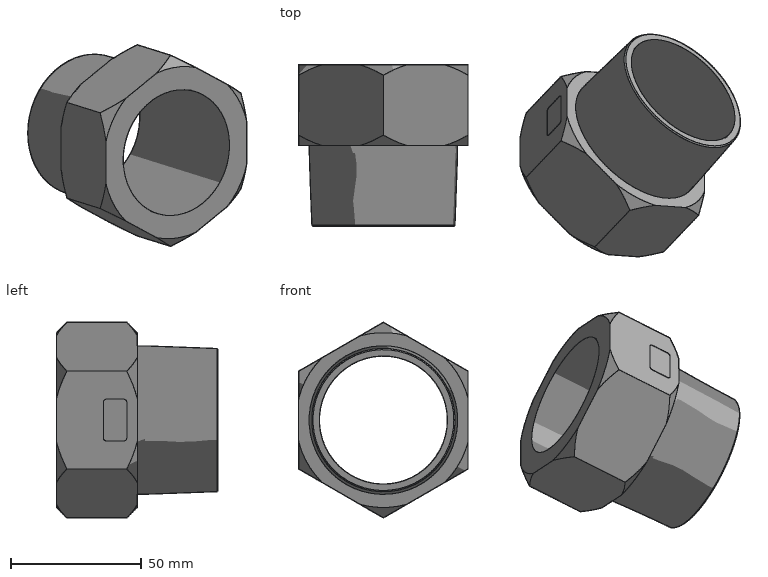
import cadquery as cq
import math

across_flats = 65.0
flat_count = 6
half_corner_angle = 180 / flat_count
across_corners = across_flats / math.cos(math.radians(half_corner_angle))
hex_length = 31.0
corner_chamfer = 4.0

spigot_length = 31.0
collar_diameter = 57.0
collar_length = 3.0
tip_diameter = 55.0
tip_chamfer = 0.5

bore_diameter = 49.0

badge_length = 9.0
badge_height = 16.0
badge_corner_radius = 1.2
badge_relief = 0.1
badge_embed = 1.0
badge_shoulder_gap = 4.0


def turned(profile_points):
    """Revolve an outline of (radius, Y) points about the Y axis."""
    outline = cq.Workplane("XY").polyline(profile_points).close()
    return outline.revolve(360, (0, 0, 0), (0, 1, 0))


def make_hexagon():
    """Hexagon with corners at +Z and -Z, chamfered at both ends."""
    prism = (
        cq.Workplane("XZ")
        .polygon(flat_count, across_corners)
        .extrude(-hex_length)
        .rotate((0, 0, 0), (0, 1, 0), half_corner_angle)
    )
    corner_radius = across_corners / 2
    end_radius = corner_radius - corner_chamfer
    envelope = turned([
        (0, 0),
        (end_radius, 0),
        (corner_radius, corner_chamfer),
        (corner_radius, hex_length - corner_chamfer),
        (end_radius, hex_length),
        (0, hex_length),
    ])
    return prism.intersect(envelope)


def make_spigot():
    """Short cylindrical collar, then a taper ending in a small chamfer."""
    collar_radius = collar_diameter / 2
    tip_radius = tip_diameter / 2
    root = hex_length / 2
    return turned([
        (0, root),
        (collar_radius, root),
        (collar_radius, -collar_length),
        (tip_radius, tip_chamfer - spigot_length),
        (tip_radius - tip_chamfer, -spigot_length),
        (0, -spigot_length),
    ])


def make_badge():
    """Thin rounded plate standing slightly proud of the -X flat."""
    thickness = badge_embed + badge_relief
    return (
        cq.Workplane("XY")
        .box(thickness, badge_length, badge_height)
        .edges("|X")
        .fillet(badge_corner_radius)
        .translate((
            thickness / 2 - across_flats / 2 - badge_relief,
            badge_shoulder_gap + badge_length / 2,
            0,
        ))
    )


def make_bore():
    """Through bore along the whole part."""
    return (
        cq.Workplane("XZ", origin=(0, hex_length, 0))
        .circle(bore_diameter / 2)
        .extrude(hex_length + spigot_length)
    )


result = make_hexagon().union(make_spigot()).union(make_badge()).cut(make_bore())